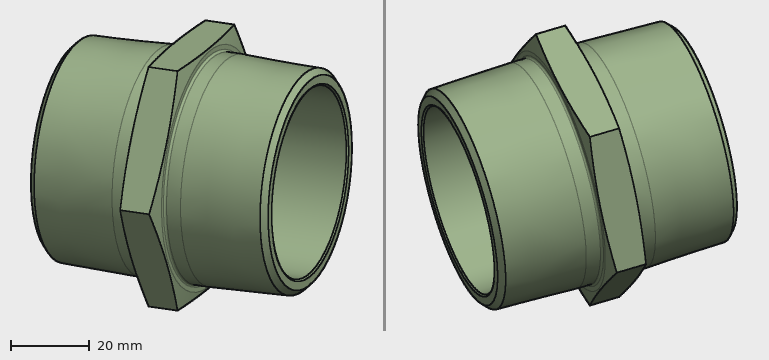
import cadquery as cq
import math

total_length = 65.5
corner_distance = 75.05
bore_diameter = 50.0
bore_chamfer = 0.45

neck_diameter = 60.05
neck_end = 9.45
taper_ratio = 1 / 16
end_chamfer = 1.6

hex_width = 10.0
hex_face_diameter = 63.8
corner_chamfer_angle = 10.0
neck_fillet = 0.6

half_length = total_length / 2
neck_radius = neck_diameter / 2
half_hex = hex_width / 2
corner_radius = corner_distance / 2
face_radius = hex_face_diameter / 2
taper_end = half_length - end_chamfer
tip_radius = neck_radius - (taper_end - neck_end) * taper_ratio / 2
corner_drop = (corner_radius - face_radius) * math.tan(math.radians(corner_chamfer_angle))


def revolve_about_x(outline):
    """Turn a closed outline in the XY plane about the X axis."""
    return outline.close().revolve(360, (0, 0, 0), (1, 0, 0))


def make_collar():
    """Hexagon with two corners on the Y axis and conically chamfered corners."""
    hexagon = cq.Workplane("YZ").polygon(6, corner_distance).extrude(half_hex, both=True)
    chamfer_envelope = revolve_about_x(
        cq.Workplane("XY")
        .moveTo(-half_hex, 0)
        .lineTo(-half_hex, face_radius)
        .lineTo(-half_hex + corner_drop, corner_radius)
        .lineTo(half_hex - corner_drop, corner_radius)
        .lineTo(half_hex, face_radius)
        .lineTo(half_hex, 0)
    )
    return hexagon.intersect(chamfer_envelope)


def make_male_end():
    """One end on the +X side: neck fillet, straight neck, taper and tip chamfer."""
    fillet_end = half_hex + neck_fillet
    return revolve_about_x(
        cq.Workplane("XY")
        .lineTo(0, neck_radius + neck_fillet)
        .lineTo(half_hex, neck_radius + neck_fillet)
        .radiusArc((fillet_end, neck_radius), -neck_fillet)
        .lineTo(neck_end, neck_radius)
        .lineTo(taper_end, tip_radius)
        .lineTo(half_length, tip_radius - end_chamfer)
        .lineTo(half_length, 0)
    )


def make_bore():
    """Through bore with a small chamfer at each mouth."""
    bore_radius = bore_diameter / 2
    mouth_radius = bore_radius + bore_chamfer
    return revolve_about_x(
        cq.Workplane("XY")
        .moveTo(-half_length, 0)
        .lineTo(-half_length, mouth_radius)
        .lineTo(-half_length + bore_chamfer, bore_radius)
        .lineTo(half_length - bore_chamfer, bore_radius)
        .lineTo(half_length, mouth_radius)
        .lineTo(half_length, 0)
    )


male_end = make_male_end()
result = make_collar().union(male_end).union(male_end.mirror("YZ")).cut(make_bore())